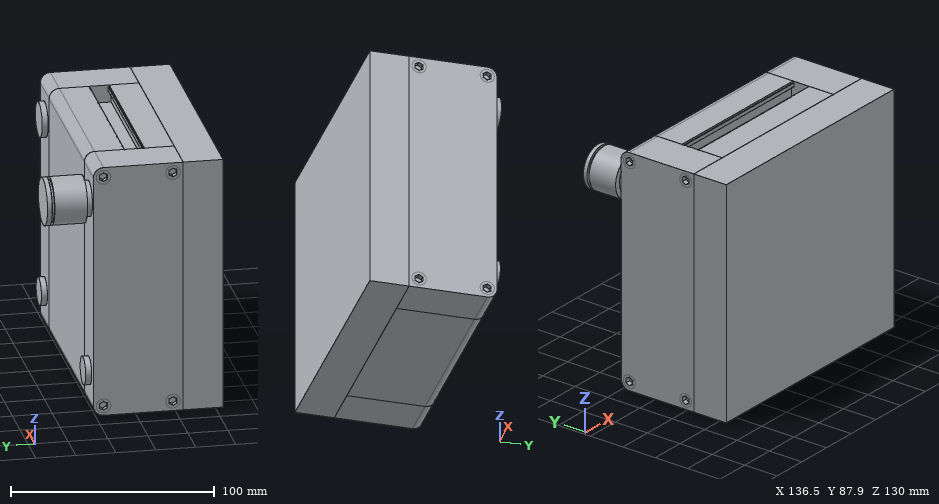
import cadquery as cq
import math

overall_width = 136.5
knob_overhang = 0.5
box_width = overall_width - knob_overhang
box_height = 130.0
plate_depth = 20.0
housing_depth = 44.9
back_edge_radius = 5.0
bar_width = 90.0
cap_width = (box_width - bar_width) / 2

left_side = -box_width / 2
cap_inner = bar_width / 2
top_side = box_height / 2

slot_center = 19.9
lip_width = 10.0
lip_depth = 1.0
neck_slot_width = 9.0
overhang_depth = 3.0
cavity_width = 12.0
slot_depth = 9.0

screw_inset = 5.0
screw_head_diameter = 7.2
screw_head_height = 4.0
socket_flats = 4.0
socket_corners = socket_flats / math.cos(math.pi / 6)
socket_depth = 3.0

large_boss_radius = 9.0
small_boss_radius = 7.1
boss_length = 3.0
boss_inset = 19.9
knob_radius = 12.0
knob_length = 20.0
boss_center_x = left_side - knob_overhang + knob_radius
boss_center_z = top_side - boss_inset
groove_radius = 10.6
rim_length = 2.5
groove_width = 1.2


def block(width, y_start, depth, x_start):
    """A full-height block, centred in Z."""
    solid = cq.Workplane("XY").box(width, depth, box_height, centered=(False, False, True))
    return solid.translate((x_start, y_start, 0))


def housing_block(width, x_start):
    """A piece of the housing, with its two long back edges rounded."""
    return block(width, 0, housing_depth, x_start).edges("|X and >Y").fillet(back_edge_radius)


def back_cylinder(radius, y_start, length, z):
    """A cylinder along +Y, in line with the left cap's bosses, that starts at the given Y."""
    plane = cq.Plane(origin=(boss_center_x, y_start, z), xDir=(1, 0, 0), normal=(0, 1, 0))
    return cq.Workplane(plane).circle(radius).extrude(length)


def slot_layer(width, depth):
    """One step of the slot, cut down from the top to the given depth."""
    return cq.Workplane("XY").box(bar_width, width, depth).translate((0, slot_center, top_side - depth / 2))


def make_middle_bar():
    bar = housing_block(bar_width, -cap_inner)
    bar = bar.cut(slot_layer(lip_width, lip_depth))
    bar = bar.cut(slot_layer(neck_slot_width, overhang_depth))
    cavity_height = slot_depth - overhang_depth
    cavity = slot_layer(cavity_width, cavity_height).translate((0, 0, -overhang_depth))
    return bar.cut(cavity)


def make_plain_cap():
    """The left cap with its four flush screws. The head outlines stay as edges on the outer side."""
    cap = housing_block(cap_width, left_side)
    for y in (screw_inset, housing_depth - screw_inset):
        for z in (screw_inset - top_side, top_side - screw_inset):
            outside = cq.Workplane("YZ", origin=(left_side, y, z))
            head = outside.circle(screw_head_diameter / 2).extrude(screw_head_height)
            socket = outside.transformed(rotate=(0, 0, 90)).polygon(6, socket_corners).extrude(socket_depth)
            cap = cap.union(head, clean=False).cut(socket, clean=False)
    return cap


def make_cap():
    """The left cap with a large boss near the top and a small one near the bottom of its back."""
    cap = make_plain_cap()
    for radius, z in ((large_boss_radius, boss_center_z), (small_boss_radius, -boss_center_z)):
        boss = back_cylinder(radius, housing_depth, boss_length, z)
        cap = cap.union(boss, clean=False)
    return cap


def add_knob(cap):
    """Adds the grooved knob to the end of the large boss."""
    knob_start = housing_depth + boss_length
    rim_start = knob_start + knob_length - rim_length
    groove_start = rim_start - groove_width
    barrel = back_cylinder(knob_radius, knob_start, groove_start - knob_start, boss_center_z)
    groove = back_cylinder(groove_radius, groove_start, groove_width, boss_center_z)
    rim = back_cylinder(knob_radius, rim_start, rim_length, boss_center_z)
    for piece in (barrel, groove, rim):
        cap = cap.union(piece, clean=False)
    return cap


front_plate = block(box_width, -plate_depth, plate_depth, left_side)
middle_bar = make_middle_bar()
left_cap = add_knob(make_cap())
right_cap = make_cap().mirror("YZ")

bodies = [front_plate, middle_bar, left_cap, right_cap]
result = cq.Compound.makeCompound([solid for body in bodies for solid in body.solids().vals()])